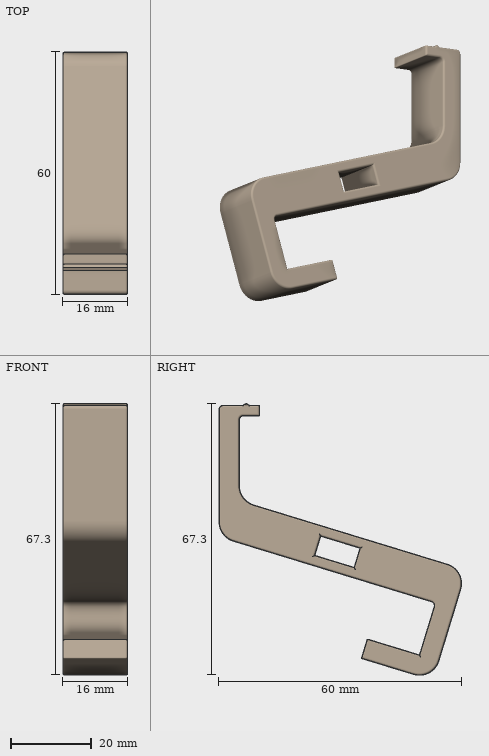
import cadquery as cq
import math

width = 16.0
edge_round = 0.5

plate_thickness = 5.0
plate_clear_height = 21.0
lip_length = 10.0
lip_thickness = 2.6
lip_inner_radius = 1.0
plate_top_radius = 1.0

ridge_offset = 6.7
ridge_half_width = 0.8
ridge_height = 0.5

arm_slope = math.radians(17.0)
arm_thickness = 10.0
arm_length = 61.0
bend_radius = 5.0
tip_radius = 0.2

hook_thickness = 5.0
hook_gap = 13.5
hook_leg_length = 13.5
hook_inner_radius = 1.0

window_length = 10.2
window_height = 5.0
window_offset = 29.1

inner_bend_z = arm_thickness / math.cos(arm_slope) - plate_thickness * math.tan(arm_slope)
lip_bottom_z = inner_bend_z + plate_clear_height
top_z = lip_bottom_z + lip_thickness


def on_arm(along, above):
    """Y, Z of a point given along the arm's lower face and square to it."""
    y = along * math.cos(arm_slope) + above * math.sin(arm_slope)
    z = above * math.cos(arm_slope) - along * math.sin(arm_slope)
    return y, z


def round_corner(body, corner, radius):
    """Round the X-direction edge that passes through the given Y, Z corner."""
    y, z = corner
    return body.edges(cq.selectors.NearestToPointSelector((width / 2, y, z))).fillet(radius)


def make_profile():
    outer_bend = (0, 0)
    plate_top = (0, top_z)
    lip_inner = (plate_thickness, lip_bottom_z)
    inner_bend = (plate_thickness, inner_bend_z)
    arm_end = on_arm(arm_length, arm_thickness)
    hook_heel = on_arm(arm_length, -hook_gap - hook_thickness)
    hook_wall = arm_length - hook_thickness
    hook_tip = hook_wall - hook_leg_length
    hook_top = on_arm(hook_wall, 0)

    outline = [
        outer_bend,
        plate_top,
        (ridge_offset - ridge_half_width, top_z),
        (ridge_offset, top_z + ridge_height),
        (ridge_offset + ridge_half_width, top_z),
        (lip_length, top_z),
        (lip_length, lip_bottom_z),
        lip_inner,
        inner_bend,
        arm_end,
        hook_heel,
        on_arm(hook_tip, -hook_gap - hook_thickness),
        on_arm(hook_tip, -hook_gap),
        on_arm(hook_wall, -hook_gap),
        hook_top,
    ]
    body = cq.Workplane("YZ").polyline(outline).close().extrude(width)

    corner_radii = [
        (outer_bend, bend_radius),
        (plate_top, plate_top_radius),
        (lip_inner, lip_inner_radius),
        (inner_bend, bend_radius),
        (arm_end, bend_radius),
        (hook_heel, bend_radius),
        ((lip_length, top_z), tip_radius),
        ((lip_length, lip_bottom_z), tip_radius),
        (on_arm(hook_tip, -hook_gap - hook_thickness), tip_radius),
        (on_arm(hook_tip, -hook_gap), tip_radius),
        (hook_top, hook_inner_radius),
    ]
    for corner, radius in corner_radii:
        body = round_corner(body, corner, radius)
    return body


def make_window():
    half = window_length / 2
    low = (arm_thickness - window_height) / 2
    high = low + window_height
    corners = [
        on_arm(window_offset - half, low),
        on_arm(window_offset + half, low),
        on_arm(window_offset + half, high),
        on_arm(window_offset - half, high),
    ]
    return cq.Workplane("YZ").polyline(corners).close().extrude(width)


def round_side_edges(body):
    """Round every edge of the two flat side faces, the window's rims included."""
    return body.faces("<X or >X").edges().fillet(edge_round)


result = round_side_edges(make_profile().cut(make_window()))